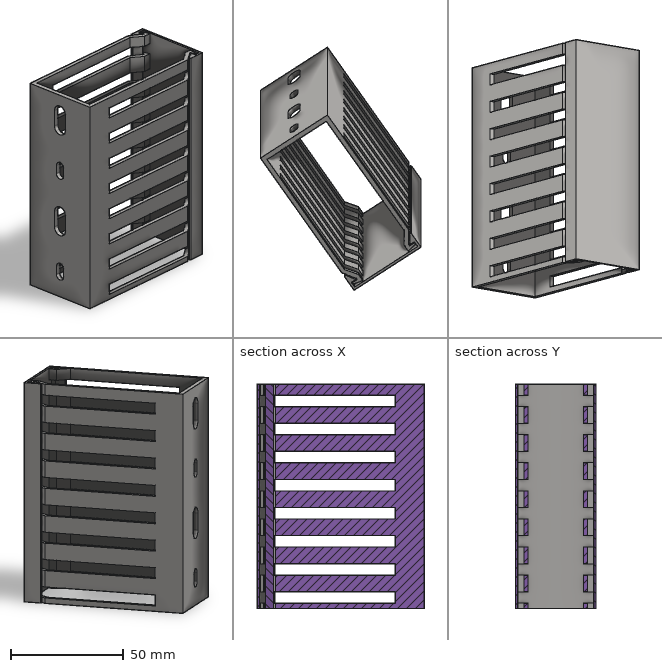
import cadquery as cq

width = 36.0
height = 74.5
length = 100.0
half_width = width / 2

cover_thickness = 1.15
skirt_thickness = 1.1
skirt_depth = 8.0
skirt_chamfer = 0.4
hook_top_depth = 3.75
hook_reach = 2.3
hook_bottom_depth = 7.6

base_thickness = 2.2
wall_base_thickness = 2.1
wall_top_thickness = 1.9
bend_outer_depth = 9.8
bend_inner_depth = 10.4

neck_inset = 5.75
neck_bottom_depth = 5.1
throat_inset = 3.85
throat_depth = 4.25
lip_under_depth = 3.4
lip_outer_depth = 2.7
lip_inner_depth = 1.6
lip_edge_gap = 0.05

slot_count = 8
slot_pitch = 12.5
slot_width = 5.0
slot_start = 2.5
slot_floor = 13.0

hole_pitch = 25.0
hole_start = 12.5
small_hole_length = 8.2
small_hole_width = 4.2
large_hole_length = 14.2
large_hole_width = 6.5
hole_sizes = 2 * [
    (small_hole_length, small_hole_width),
    (large_hole_length, large_hole_width),
]


def section_point(inset, depth):
    """Point on the right half, measured in from the outer side and down from the cover's outer face."""
    return (half_width - inset, height - depth)


def symmetric_extrusion(right_half):
    """Extrude an open half outline, closed by its mirror image, along the duct."""
    left_half = [(-x, y) for x, y in reversed(right_half)]
    return cq.Workplane("XY").polyline(right_half + left_half).close().extrude(length)


def trough_profile():
    right_half = [
        (half_width, 0),
        section_point(0, bend_outer_depth),
        section_point(throat_inset, throat_depth),
        section_point(throat_inset, lip_under_depth),
        section_point(skirt_thickness + lip_edge_gap, lip_under_depth),
        section_point(skirt_thickness + lip_edge_gap, lip_outer_depth),
        section_point(neck_inset, lip_inner_depth),
        section_point(neck_inset, neck_bottom_depth),
        section_point(wall_top_thickness, bend_inner_depth),
        (half_width - wall_base_thickness, base_thickness),
    ]
    return symmetric_extrusion(right_half)


def side_slots():
    slot_height = height - slot_floor
    slots = cq.Workplane("XY")
    for index in range(slot_count):
        slot = cq.Workplane("XY").box(width, slot_height, slot_width, centered=(True, False, False))
        slots = slots.add(slot.translate((0, slot_floor, slot_start + index * slot_pitch)))
    return slots.combine()


def base_holes():
    holes = cq.Workplane("XY")
    for index, (hole_length, hole_width) in enumerate(hole_sizes):
        hole = cq.Workplane("XZ").slot2D(hole_length, hole_width, 90).extrude(-base_thickness)
        holes = holes.add(hole.translate((0, 0, hole_start + index * hole_pitch)))
    return holes.combine()


def make_trough():
    return trough_profile().cut(side_slots()).cut(base_holes())


def make_cover():
    right_half = [
        section_point(0, 0),
        section_point(0, skirt_depth - skirt_chamfer),
        section_point(skirt_chamfer, skirt_depth),
        section_point(skirt_thickness, skirt_depth),
        section_point(skirt_thickness, hook_bottom_depth),
        section_point(skirt_thickness + hook_reach, hook_top_depth),
        section_point(skirt_thickness, hook_top_depth),
        section_point(skirt_thickness, cover_thickness),
    ]
    return symmetric_extrusion(right_half)


trough = make_trough()
cover = make_cover()

result = cq.Compound.makeCompound([trough.val(), cover.val()])